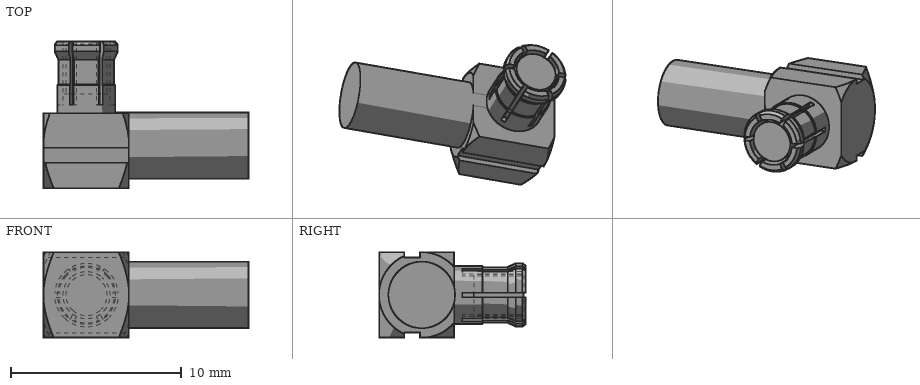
import cadquery as cq
import math


overall_length = 12.0
overall_depth = 8.6

block_width = 5.0
block_depth = 4.4
block_half = block_width / 2
block_front = -block_half
block_back = block_front + block_depth

chamfer_angle = 30.0

groove_width = 0.9
groove_depth = 0.3
groove_from_front = 1.49

tube_diameter = 3.9
tube_end = overall_length - block_half

collet_length = overall_depth - block_depth
base_radius = 1.7
neck_radius = 1.63
head_radius = 1.86
tip_radius = 1.7
base_height = 1.63
neck_start_height = 1.68
neck_end_height = 3.12
head_start_height = 3.61
head_end_height = 3.98
bore_radius = 1.38

slot_count = 6
slot_width = 0.25
slot_floor_height = 0.48

plug_height = 1.14
insulator_radius = 1.2
insulator_recess = 0.13


def corner_cone_envelope():
    """Round bar about X whose ends taper to circles inscribed in the block ends."""
    corner_radius = math.hypot(block_half, block_half)
    taper_length = (corner_radius - block_half) * math.tan(math.radians(chamfer_angle))
    profile = [
        (-block_half, 0),
        (-block_half, block_half),
        (-block_half + taper_length, corner_radius),
        (block_half - taper_length, corner_radius),
        (block_half, block_half),
        (block_half, 0),
    ]
    return cq.Workplane("XY").polyline(profile).close().revolve(360, (0, 0, 0), (1, 0, 0))


def make_block():
    block = cq.Workplane("XY").box(block_width, block_depth, block_width)
    block = block.translate((0, block_front + block_depth / 2, 0))
    block = block.intersect(corner_cone_envelope())
    groove_y = block_front + groove_from_front + groove_width / 2
    for side in (1, -1):
        groove = cq.Workplane("XY").box(block_width, groove_width, 2 * groove_depth)
        block = block.cut(groove.translate((0, groove_y, side * block_half)))
    return block


def make_tube():
    return cq.Workplane("YZ").circle(tube_diameter / 2).extrude(tube_end)


def cylinder_along_y(radius, start_height, end_height):
    """Cylinder on the collet axis between two heights above the block."""
    plane = cq.Workplane("XZ", origin=(0, block_back + start_height, 0))
    return plane.circle(radius).extrude(start_height - end_height)


def make_collet():
    outline = [
        (0, 0),
        (base_radius, 0),
        (base_radius, base_height),
        (neck_radius, neck_start_height),
        (neck_radius, neck_end_height),
        (head_radius, head_start_height),
        (head_radius, head_end_height),
        (tip_radius, collet_length),
        (0, collet_length),
    ]
    collet = cq.Workplane("XY").polyline(outline).close().revolve(360, (0, 0, 0), (0, 1, 0))
    collet = collet.translate((0, block_back, 0))
    collet = collet.cut(cylinder_along_y(bore_radius, slot_floor_height, collet_length))

    slot_length = collet_length - slot_floor_height
    slot_y = block_back + slot_floor_height + slot_length / 2
    slot_pair = cq.Workplane("XY").box(3 * head_radius, slot_length, slot_width)
    slot_pair = slot_pair.translate((0, slot_y, 0))
    for index in range(slot_count // 2):
        angle = index * 360 / slot_count
        collet = collet.cut(slot_pair.rotate((0, 0, 0), (0, 1, 0), angle))
    return collet


def make_insulator():
    plug = cylinder_along_y(bore_radius, slot_floor_height, plug_height)
    insulator_end = collet_length - insulator_recess
    return plug.union(cylinder_along_y(insulator_radius, slot_floor_height, insulator_end))


result = make_block().union(make_tube()).union(make_collet()).union(make_insulator())